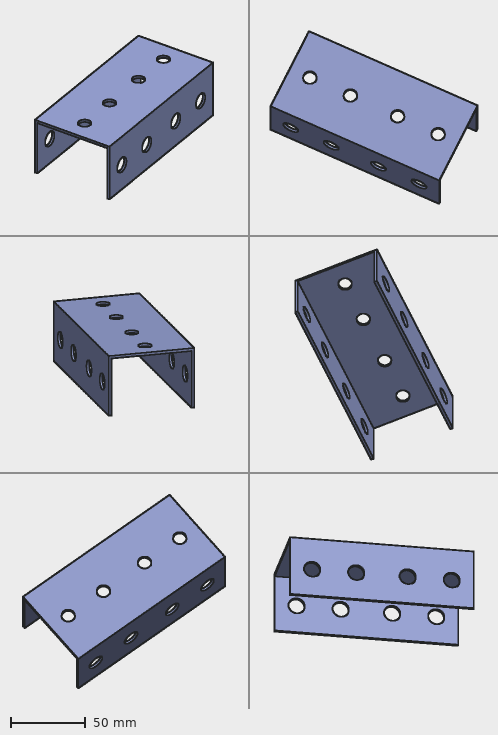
import cadquery as cq

width = 60.0
length = 125.0
height = 42.0
wall = 2.0

end_margin = 15.0
hole_pitch = 30.0
web_hole_diameter = 9.0
flange_hole_diameter = 11.0
flange_hole_drop = 22.5

outer_hole_y = length / 2 - end_margin
inner_hole_y = outer_hole_y - hole_pitch
hole_rows = [-outer_hole_y, -inner_hole_y, inner_hole_y, outer_hole_y]


def make_channel():
    """U-channel open downwards, centred in X and Y, standing on Z = 0."""
    block = cq.Workplane("XY").box(width, length, height, centered=(True, True, False))
    cavity = cq.Workplane("XY").box(
        width - 2 * wall, length, height - wall, centered=(True, True, False)
    )
    return block.cut(cavity)


def make_web_holes():
    """Vertical cylinders through the web."""
    centres = [(0, y) for y in hole_rows]
    return (
        cq.Workplane("XY")
        .workplane(offset=height - wall)
        .pushPoints(centres)
        .circle(web_hole_diameter / 2)
        .extrude(wall)
    )


def make_flange_holes():
    """Horizontal cylinders along X, through both flanges."""
    centres = [(y, height - flange_hole_drop) for y in hole_rows]
    return (
        cq.Workplane("YZ")
        .pushPoints(centres)
        .circle(flange_hole_diameter / 2)
        .extrude(width / 2, both=True)
    )


result = make_channel().cut(make_web_holes()).cut(make_flange_holes())